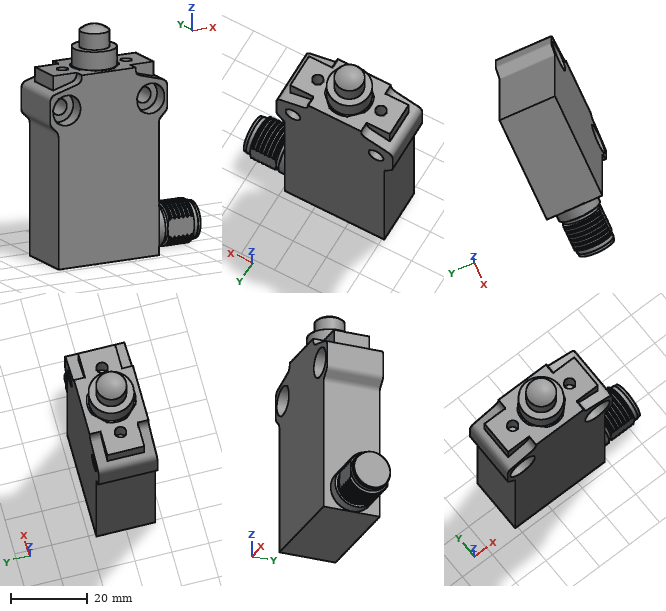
import cadquery as cq
import math


body_width = 30.0
body_depth = 16.0
body_height = 52.05
ear_span = 34.95
ear_underside_z = 39.5
ear_top_z = 47.4
crown_half_width = 8.0
shoulder_z = 50.1
edge_radius = 2.0
tongue_depth = 10.0

mount_spacing = 25.0
mount_z = 43.0
mount_hole_diameter = 4.4
mount_recess_diameter = 8.2
mount_recess_depth = 4.1

top_hole_spacing = 19.0
top_hole_diameter = 3.0
top_hole_depth = 5.05

bushing_diameter = 12.0
bushing_top_z = 57.0
foot_diameter = 13.0
foot_across_flats = 12.15
foot_height = 2.0
plunger_diameter = 8.0
plunger_dome_height = 1.6
plunger_top_z = 63.0

connector_z = 6.05
flange_diameter = 12.0
flange_end = 3.0
neck_diameter = 10.6
thread_start = 4.1
thread_end = 12.0
thread_diameter = 12.0
thread_chamfer = 0.3
thread_across_flats = neck_diameter
groove_count = 6
groove_pitch = 1.25
first_groove = 4.85
groove_width = 0.6
groove_depth = 0.2
neck_end = 13.15
tip_diameter = 10.3
connector_length = 14.0


def make_profile_block():
    """Full-depth block with the ears, sloping shoulders and crown, all corners rounded."""
    half_body = body_width / 2
    half_ears = ear_span / 2
    body_side_top_z = ear_underside_z - (half_ears - half_body)
    rounded_corners = [
        (half_body, body_side_top_z),
        (half_ears, ear_underside_z),
        (half_ears, ear_top_z),
        (crown_half_width, shoulder_z),
    ]
    right_side = [(half_body, 0), *rounded_corners, (crown_half_width, body_height)]
    left_side = [(-x, z) for x, z in reversed(right_side)]
    block = (
        cq.Workplane("XZ")
        .polyline(right_side + left_side)
        .close()
        .extrude(body_depth / 2, both=True)
    )
    for x, z in rounded_corners:
        for side in (-1, 1):
            corner = cq.selectors.NearestToPointSelector((side * x, 0, z))
            block = block.edges("|Y").edges(corner).fillet(edge_radius)
    return block


def make_bushing_foot():
    """Round disc with four diagonal flats, sunk flush with the top of the housing."""
    foot_base = cq.Workplane("XY").workplane(offset=body_height - foot_height)
    disc = foot_base.circle(foot_diameter / 2).extrude(foot_height)
    square = (
        foot_base.transformed(rotate=(0, 0, 45))
        .rect(foot_across_flats, foot_across_flats)
        .extrude(foot_height)
    )
    return disc.intersect(square)


def make_housing():
    tongue = cq.Workplane("XY").box(body_width, tongue_depth, body_height, centered=(True, True, False))
    body = make_profile_block().union(tongue)
    mount_places = [(-mount_spacing / 2, mount_z), (mount_spacing / 2, mount_z)]
    body = body.cut(
        cq.Workplane("XZ")
        .pushPoints(mount_places)
        .circle(mount_hole_diameter / 2)
        .extrude(body_depth, both=True)
    )
    body = body.cut(
        cq.Workplane("XZ", origin=(0, -body_depth / 2, 0))
        .pushPoints(mount_places)
        .circle(mount_recess_diameter / 2)
        .extrude(-mount_recess_depth)
    )
    body = body.cut(
        cq.Workplane("XY")
        .workplane(offset=body_height)
        .pushPoints([(-top_hole_spacing / 2, 0), (top_hole_spacing / 2, 0)])
        .circle(top_hole_diameter / 2)
        .extrude(-top_hole_depth)
    )
    return body.cut(make_bushing_foot())


def make_bushing():
    """Plain collar on the foot that holds it in the housing."""
    collar = (
        cq.Workplane("XY")
        .workplane(offset=body_height)
        .circle(bushing_diameter / 2)
        .extrude(bushing_top_z - body_height)
    )
    return collar.union(make_bushing_foot())


def make_plunger():
    """Pin standing on the bushing, with a spherical end."""
    radius = plunger_diameter / 2
    dome_base_z = plunger_top_z - plunger_dome_height
    dome_radius = (radius**2 + plunger_dome_height**2) / (2 * plunger_dome_height)
    half_angle = math.asin(radius / dome_radius) / 2
    dome_middle = (
        dome_radius * math.sin(half_angle),
        plunger_top_z - dome_radius * (1 - math.cos(half_angle)),
    )
    return (
        cq.Workplane("XZ")
        .moveTo(0, bushing_top_z)
        .lineTo(radius, bushing_top_z)
        .lineTo(radius, dome_base_z)
        .threePointArc(dome_middle, (0, plunger_top_z))
        .close()
        .revolve(360, (0, 0, 0), (0, 1, 0))
    )


def make_thread():
    """Ring-grooved barrel with chamfered ends and two flats facing -Y and +Y."""
    crest = thread_diameter / 2
    root = neck_diameter / 2
    outline = [
        (thread_start, 0),
        (thread_start, root),
        (thread_start + thread_chamfer, crest),
    ]
    for i in range(groove_count):
        middle = first_groove + i * groove_pitch
        outline.append((middle - groove_width / 2, crest))
        outline.append((middle, crest - groove_depth))
        outline.append((middle + groove_width / 2, crest))
    outline += [
        (thread_end - thread_chamfer, crest),
        (thread_end, root),
        (thread_end, 0),
    ]
    barrel = cq.Workplane("XY").polyline(outline).close().revolve(360, (0, 0, 0), (1, 0, 0))
    between_flats = cq.Workplane("XY").box(2 * thread_end, thread_across_flats, thread_diameter)
    return barrel.intersect(between_flats)


def make_connector():
    """Flange, neck, threaded barrel and tip in one piece, along +X."""

    def cylinder(start, end, diameter):
        return cq.Workplane("YZ").workplane(offset=start).circle(diameter / 2).extrude(end - start)

    shape = cylinder(0, flange_end, flange_diameter)
    shape = shape.union(cylinder(flange_end, neck_end, neck_diameter))
    shape = shape.union(make_thread())
    shape = shape.union(cylinder(neck_end, connector_length, tip_diameter))
    return shape.translate((body_width / 2, 0, connector_z))


housing = make_housing()
bushing = make_bushing()
plunger = make_plunger()
connector = make_connector()

result = cq.Compound.makeCompound([housing.val(), bushing.val(), plunger.val(), connector.val()])